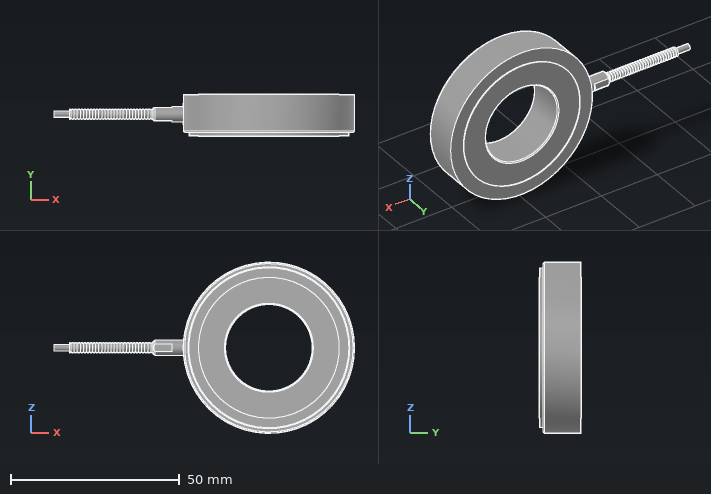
import cadquery as cq
import math

overall_length = 89.1
ring_radius = 25.4
ring_depth = 12.7
bore_radius = 12.8
bore_chamfer = 0.4
face_radius = 20.85
face_height = 0.3
rim_radius = 23.7
rim_gap = 0.3
rim_gap_depth = 0.45
shoulder_depth = 11.5
shoulder_chamfer = 0.45

cable_depth = 6.1
cable_end = ring_radius - overall_length
cable_radius = 1.0
sleeve_radius = 2.3
sleeve_start = -34.3
sleeve_chamfer = 0.5
sleeve_root = -(ring_radius + bore_radius) / 2
flat_end = -28.8
across_flats = 4.0

relief_start = -59.1
relief_radius = 1.5
rib_count = 26
rib_pitch = 0.91
rib_arc_radius = rib_pitch / 2
groove_radius = relief_radius - rib_arc_radius


def ring():
    """Revolved ring with raised load faces and a chamfered shoulder.

    A narrow annular gap separates the shoulder from the front rim.
    """
    profile = (
        cq.Workplane("XY")
        .moveTo(bore_radius + bore_chamfer, 0)
        .lineTo(face_radius, 0)
        .lineTo(face_radius, -face_height)
        .lineTo(ring_radius, -face_height)
        .lineTo(ring_radius, shoulder_chamfer - shoulder_depth)
        .lineTo(ring_radius - shoulder_chamfer, -shoulder_depth)
        .lineTo(rim_radius + rim_gap, -shoulder_depth)
        .lineTo(rim_radius + rim_gap, rim_gap_depth - shoulder_depth)
        .lineTo(rim_radius, rim_gap_depth - shoulder_depth)
        .lineTo(rim_radius, face_height - ring_depth)
        .lineTo(face_radius, face_height - ring_depth)
        .lineTo(face_radius, -ring_depth)
        .lineTo(bore_radius + bore_chamfer, -ring_depth)
        .lineTo(bore_radius, bore_chamfer - ring_depth)
        .lineTo(bore_radius, -bore_chamfer)
        .close()
    )
    return profile.revolve(360, (0, 0, 0), (0, 1, 0))


def cylinder_along_x(radius, start, end):
    """Cylinder on the cable axis between two X positions."""
    base = cq.Workplane("YZ", origin=(start, -cable_depth, 0))
    return base.circle(radius).extrude(end - start)


def sleeve():
    """Outlet sleeve with a chamfered tip and two wrench flats facing +Y and -Y."""
    body = cylinder_along_x(sleeve_radius, sleeve_start, sleeve_root)
    body = body.faces("<X").chamfer(sleeve_chamfer)
    flat_length = flat_end - sleeve_start
    flat_middle = (sleeve_start + flat_end) / 2
    cutter_size = 2 * sleeve_radius
    for side in (-1, 1):
        cutter_y = side * (across_flats + cutter_size) / 2 - cable_depth
        cutter = cq.Workplane("XY").box(flat_length, cutter_size, cutter_size)
        body = body.cut(cutter.translate((flat_middle, cutter_y, 0)))
    return body


def cable_with_relief():
    """Bare cable tip and the grooved strain relief, revolved in one piece.

    Round ribs lie between the grooves. A half rib closes the outer end, and
    another half rib runs into the sleeve.
    """
    arc_offset = rib_arc_radius * math.sqrt(0.5)
    arc_middle_radius = groove_radius + arc_offset
    first_groove = relief_start + rib_arc_radius
    last_groove = first_groove + rib_count * rib_pitch
    last_crest = last_groove + rib_arc_radius
    relief_end = sleeve_start + sleeve_chamfer
    profile = (
        cq.Workplane("XY", origin=(0, -cable_depth, 0))
        .moveTo(cable_end, 0)
        .lineTo(cable_end, cable_radius)
        .lineTo(relief_start, cable_radius)
        .lineTo(relief_start, relief_radius)
        .threePointArc((relief_start + arc_offset, arc_middle_radius), (first_groove, groove_radius))
    )
    for rib in range(rib_count):
        rib_start = first_groove + rib * rib_pitch
        crest = (rib_start + rib_arc_radius, relief_radius)
        profile = profile.threePointArc(crest, (rib_start + rib_pitch, groove_radius))
    profile = (
        profile
        .threePointArc((last_crest - arc_offset, arc_middle_radius), (last_crest, relief_radius))
        .lineTo(relief_end, relief_radius)
        .lineTo(relief_end, 0)
        .close()
    )
    return profile.revolve(360, (0, 0, 0), (1, 0, 0))


result = ring().union(sleeve()).union(cable_with_relief())